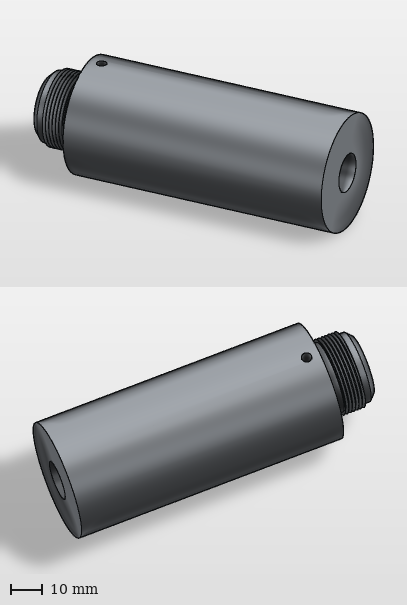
import cadquery as cq

total_length = 103.6
body_diameter = 38.7
nose_length = 14.5
nose_diameter = 23.3
nose_chamfer = 1.9

thread_start = 4.2
thread_length = 6.8
thread_diameter = 25.4
thread_turns = 6

bore_diameter = 12.6
bore_chamfer = 0.5

radial_hole_diameter = 3.2
radial_hole_offset = 4.4


def turned_blank():
    """Body and nose outline revolved about X, including the thread rings."""
    body_radius = body_diameter / 2
    nose_radius = nose_diameter / 2
    crest_radius = thread_diameter / 2
    pitch = thread_length / thread_turns

    outline = [
        (0, 0),
        (0, nose_radius - nose_chamfer),
        (nose_chamfer, nose_radius),
        (thread_start, nose_radius),
        (thread_start, crest_radius),
    ]
    for turn in range(thread_turns):
        ring_start = thread_start + turn * pitch
        outline.append((ring_start + pitch / 2, nose_radius))
        outline.append((ring_start + pitch, crest_radius))
    outline += [
        (thread_start + thread_length, nose_radius),
        (nose_length, nose_radius),
        (nose_length, body_radius),
        (total_length, body_radius),
        (total_length, 0),
    ]
    return cq.Workplane("XY").polyline(outline).close().revolve(360, (0, 0, 0), (1, 0, 0))


def bore():
    """Through bore along X, opened by a chamfer at the nose face."""
    radius = bore_diameter / 2
    outline = [
        (0, 0),
        (0, radius + bore_chamfer),
        (bore_chamfer, radius),
        (total_length, radius),
        (total_length, 0),
    ]
    return cq.Workplane("XY").polyline(outline).close().revolve(360, (0, 0, 0), (1, 0, 0))


def radial_hole():
    """Hole from the top of the body down to the bore."""
    return (
        cq.Workplane("XY")
        .center(nose_length + radial_hole_offset, 0)
        .circle(radial_hole_diameter / 2)
        .extrude(body_diameter / 2)
    )


result = turned_blank().cut(bore()).cut(radial_hole())